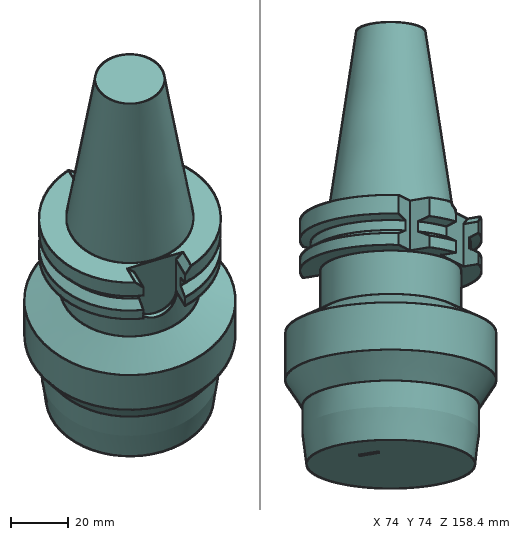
import cadquery as cq

total_height = 158.4
nose_bottom = 0.3
nose_cone_top = 11.9
nose_top = 21.5
body_bottom = 31.0
body_top = 48.3
neck_bottom = 55.1
flange_bottom = 71.0
groove_cone_bottom = 75.2
groove_bottom = 77.5
groove_top = 81.1
groove_cone_top = 82.4
flange_top = 89.2
gauge_line = 90.0

nose_end_diameter = 59.1
nose_diameter = 62.0
body_diameter = 74.0
neck_diameter = 49.5
flange_diameter = 63.7
groove_diameter = 56.2
taper_large_diameter = 44.5
taper_small_diameter = 24.4

slot_width = 15.8
slot_chamfer = 2.7
left_slot_floor = 24.9
right_slot_floor = 22.7
notch_corner = 18.2

pad_length = 7.6
pad_width = 0.6
pad_offset = 15.2

cut_reach = body_diameter / 2


def turned_body():
    """Revolve the half profile of the holder about Z."""
    profile = [
        (nose_end_diameter, nose_bottom),
        (nose_diameter, nose_cone_top),
        (nose_diameter, nose_top),
        (body_diameter, body_bottom),
        (body_diameter, body_top),
        (neck_diameter, neck_bottom),
        (neck_diameter, flange_bottom),
        (flange_diameter, flange_bottom),
        (flange_diameter, groove_cone_bottom),
        (groove_diameter, groove_bottom),
        (groove_diameter, groove_top),
        (flange_diameter, groove_cone_top),
        (flange_diameter, flange_top),
        (taper_large_diameter, flange_top),
        (taper_large_diameter, gauge_line),
        (taper_small_diameter, total_height),
    ]
    half_profile = [(diameter / 2, z) for diameter, z in profile]
    outline = [(0, nose_bottom)] + half_profile + [(0, total_height)]
    return cq.Workplane("XZ").polyline(outline).close().revolve(360, (0, 0), (0, 1))


def drive_slot(floor, side):
    """Slot with a chamfered mouth and a round lower end, cut outward from the floor."""
    half = slot_width / 2
    mouth = half + slot_chamfer
    return (
        cq.Workplane("YZ", origin=(side * floor, 0, 0))
        .moveTo(-mouth, flange_top)
        .lineTo(-half, flange_top - slot_chamfer)
        .lineTo(-half, flange_bottom)
        .threePointArc((0, flange_bottom - half), (half, flange_bottom))
        .lineTo(half, flange_top - slot_chamfer)
        .lineTo(mouth, flange_top)
        .close()
        .extrude(side * (cut_reach - floor))
    )


def orientation_notch():
    """Square corner removed from the flange at -X, +Y."""
    size = cut_reach - notch_corner
    return (
        cq.Workplane("XY")
        .box(size, size, flange_top - flange_bottom, centered=False)
        .translate((-cut_reach, notch_corner, flange_bottom))
    )


def nose_pad():
    """Thin raised bar on the end face of the nose."""
    return (
        cq.Workplane("XY")
        .center(0, pad_offset)
        .rect(pad_length, pad_width)
        .extrude(nose_cone_top)
    )


result = (
    turned_body()
    .cut(drive_slot(left_slot_floor, -1))
    .cut(drive_slot(right_slot_floor, 1))
    .cut(orientation_notch())
    .union(nose_pad())
)